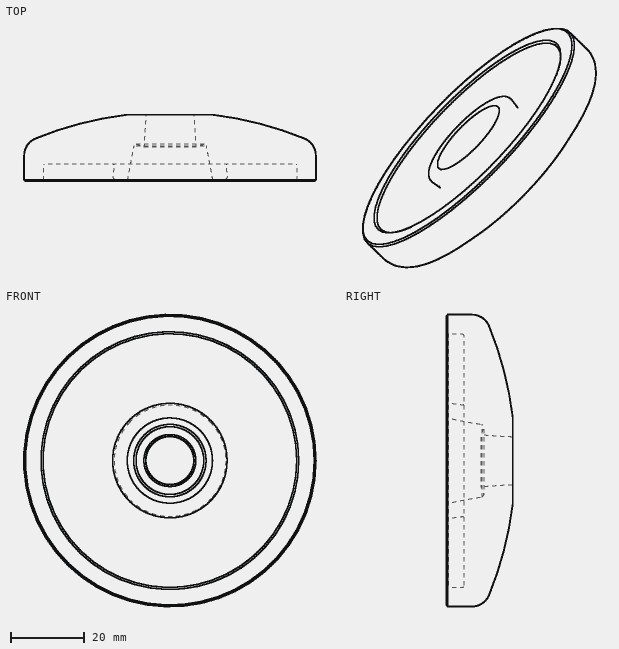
import cadquery as cq
import math

outer_radius = 39.5
thickness = 18.0
rim_chamfer = 0.5
shoulder_radius = 5.05
dome_radius = 96.4
crown_radius = 11.85

recess_radius = 34.3
recess_depth = 4.75
recess_chamfer = 0.55
recess_fillet = 0.55

hub_inset = 0.4
hub_radius = 15.5
hub_fillet = 1.1
hub_root_radius = 15.1
hub_root_fillet = 0.4

mouth_radius = 11.5
socket_radius = 9.8
socket_depth = 9.6
floor_radius = 9.2
floor_depth = 10.1
hole_mouth_radius = 7.0
hole_mouth_depth = 9.4
hole_radius = 6.5


def revolve_about_y(profile):
    return profile.close().revolve(360, (0, 0, 0), (0, 1, 0))


def polar(center_y, radius, angle):
    """Profile point on a circle centred on the Y axis, angle measured from +Y."""
    return radius * math.sin(angle), center_y + radius * math.cos(angle)


def make_body():
    dome_center = thickness - math.sqrt(dome_radius**2 - crown_radius**2)
    shoulder_x = outer_radius - shoulder_radius
    touch_angle = math.asin(shoulder_x / (dome_radius - shoulder_radius))
    crown_angle = math.asin(crown_radius / dome_radius)
    shoulder_y = polar(dome_center, dome_radius - shoulder_radius, touch_angle)[1]
    touch_point = polar(dome_center, dome_radius, touch_angle)
    dome_middle = polar(dome_center, dome_radius, (touch_angle + crown_angle) / 2)
    middle_angle = (touch_angle + math.pi / 2) / 2
    shoulder_middle = (
        shoulder_x + shoulder_radius * math.sin(middle_angle),
        shoulder_y + shoulder_radius * math.cos(middle_angle),
    )
    return revolve_about_y(
        cq.Workplane("XY")
        .lineTo(outer_radius - rim_chamfer, 0)
        .lineTo(outer_radius, rim_chamfer)
        .lineTo(outer_radius, shoulder_y)
        .threePointArc(shoulder_middle, touch_point)
        .threePointArc(dome_middle, (crown_radius, thickness))
        .lineTo(0, thickness)
    )


def make_recess():
    return revolve_about_y(
        cq.Workplane("XY")
        .lineTo(0, hub_inset)
        .lineTo(hub_radius - hub_fillet, hub_inset)
        .radiusArc((hub_radius, hub_inset + hub_fillet), -hub_fillet)
        .lineTo(hub_root_radius, recess_depth - hub_root_fillet)
        .radiusArc((hub_root_radius + hub_root_fillet, recess_depth), hub_root_fillet)
        .lineTo(recess_radius - recess_fillet, recess_depth)
        .radiusArc((recess_radius, recess_depth - recess_fillet), recess_fillet)
        .lineTo(recess_radius, recess_chamfer)
        .lineTo(recess_radius + recess_chamfer, 0)
    )


def make_socket():
    return revolve_about_y(
        cq.Workplane("XY")
        .moveTo(0, hub_inset)
        .lineTo(mouth_radius, hub_inset)
        .lineTo(socket_radius, socket_depth)
        .lineTo(floor_radius, floor_depth)
        .lineTo(hole_mouth_radius, hole_mouth_depth)
        .lineTo(hole_radius, thickness)
        .lineTo(0, thickness)
    )


result = make_body().cut(make_recess()).cut(make_socket())